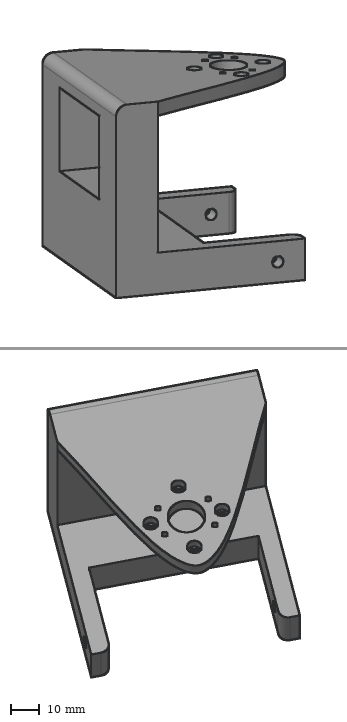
import cadquery as cq

width = 74.45
length = 75.9
height = 69.5
block_depth = 15.55
edge_radius = 4.0

plate_thickness = 5.15
flank_points = [(24.6, 42.4), (19.0, 53.9), (11.45, 66.8), (6.75, 72.3)]

fork_length = 70.1
fork_height = 15.0
arm_width = 7.0
web_end = 35.05
arm_tip_radius = 3.4
pivot_diameter = 4.0
pivot_y = 60.0
pivot_z = fork_height / 2

window_width = 40.0
window_height = 30.1
window_bottom = 31.35

mount_y = 55.4
bore_diameter = 13.0
screw_offset = 12.75
screw_diameter = 3.0
counterbore_diameter = 5.0
counterbore_depth = 3.8
pin_diameter = 2.0
pin_offset_x = 8.95
pin_offset_y = 5.5


def make_block():
    block = cq.Workplane("XY").box(width, block_depth, height, centered=(True, False, False))
    return block.edges("<Y and >Z").fillet(edge_radius)


def make_plate():
    half = width / 2
    left_flank = [(-x, y) for x, y in reversed(flank_points)]
    tip = (0, length)
    return (
        cq.Workplane("XY", origin=(0, 0, height - plate_thickness))
        .moveTo(-half, edge_radius)
        .lineTo(half, edge_radius)
        .lineTo(half, block_depth)
        .spline(flank_points + [tip] + left_flank + [(-half, block_depth)], includeCurrent=True)
        .close()
        .extrude(plate_thickness)
    )


def make_fork():
    gap_width = width - 2 * arm_width
    fork = cq.Workplane("XY").box(width, fork_length, fork_height, centered=(True, False, False))
    gap = (
        cq.Workplane("XY", origin=(0, web_end, 0))
        .box(gap_width, fork_length - web_end, fork_height, centered=(True, False, False))
    )
    fork = fork.cut(gap)
    for side in (-1, 1):
        inner_corner = (side * gap_width / 2, fork_length, fork_height / 2)
        fork = fork.edges(cq.NearestToPointSelector(inner_corner)).fillet(arm_tip_radius)
    pivot = (
        cq.Workplane("YZ", origin=(-width / 2, pivot_y, pivot_z))
        .circle(pivot_diameter / 2)
        .extrude(width)
    )
    return fork.cut(pivot)


def cut_window(body):
    window = (
        cq.Workplane("XY", origin=(0, 0, window_bottom))
        .box(window_width, block_depth, window_height, centered=(True, False, False))
    )
    return body.cut(window)


def plate_holes(points, diameter, depth):
    return (
        cq.Workplane("XY", origin=(0, mount_y, height - depth))
        .pushPoints(points)
        .circle(diameter / 2)
        .extrude(depth)
    )


def cut_mounting_pattern(body):
    screws = [(screw_offset, 0), (-screw_offset, 0), (0, screw_offset), (0, -screw_offset)]
    pins = [(sx * pin_offset_x, sy * pin_offset_y) for sx in (-1, 1) for sy in (-1, 1)]
    body = body.cut(plate_holes([(0, 0)], bore_diameter, plate_thickness))
    body = body.cut(plate_holes(screws, screw_diameter, plate_thickness))
    body = body.cut(plate_holes(screws, counterbore_diameter, counterbore_depth))
    return body.cut(plate_holes(pins, pin_diameter, plate_thickness))


body = make_block().union(make_plate()).union(make_fork())
body = cut_window(body)
result = cut_mounting_pattern(body)